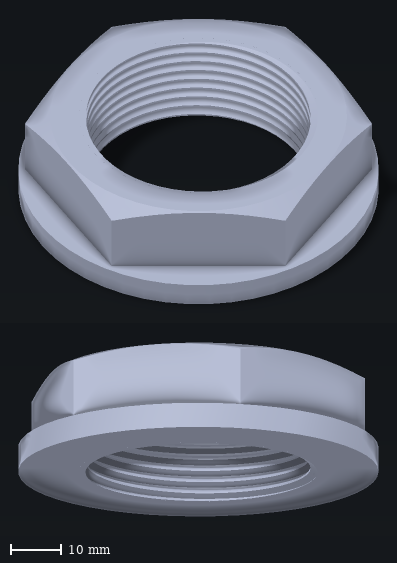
import cadquery as cq
import math

flange_diameter = 72.0
flange_thickness = 5.0
nut_height = 19.0

across_flats = 60.05
chamfer_top_diameter = 59.3
chamfer_drop = 2.2

across_corners = across_flats / math.cos(math.radians(30))

bore_diameter = 47.8
thread_crest_diameter = 44.85
thread_pitch = 2.3
crest_width = thread_pitch / 6
ridge_base_width = thread_pitch * 5 / 6
ridge_angle_at_top = 175.0

bore_radius = bore_diameter / 2
crest_radius = thread_crest_diameter / 2


def make_flange():
    return cq.Workplane("XY").circle(flange_diameter / 2).extrude(flange_thickness)


def make_chamfered_hexagon():
    prism = (
        cq.Workplane("XY")
        .polygon(6, across_flats, circumscribed=True)
        .extrude(nut_height)
    )
    top_radius = chamfer_top_diameter / 2
    corner_radius = across_corners / 2
    chamfer_envelope = (
        cq.Workplane("XZ")
        .polyline([
            (0, 0),
            (corner_radius, 0),
            (corner_radius, nut_height - chamfer_drop),
            (top_radius, nut_height),
            (0, nut_height),
        ])
        .close()
        .revolve(360, (0, 0), (0, 1))
    )
    return prism.intersect(chamfer_envelope)


def make_nut():
    bore = cq.Workplane("XY").circle(bore_radius).extrude(nut_height)
    return make_flange().union(make_chamfered_hexagon()).cut(bore)


def make_thread():
    start_z = -2 * thread_pitch
    helix_height = nut_height + 4 * thread_pitch
    helix = cq.Wire.makeHelix(thread_pitch, helix_height, bore_radius)
    ridge = (
        cq.Workplane("XZ")
        .polyline([
            (bore_radius, -ridge_base_width / 2),
            (crest_radius, -crest_width / 2),
            (crest_radius, crest_width / 2),
            (bore_radius, ridge_base_width / 2),
        ])
        .close()
        .sweep(cq.Workplane(helix), isFrenet=True)
    )
    angle_climbed_to_top = 360 * (nut_height - start_z) / thread_pitch
    ridge = ridge.rotate((0, 0, 0), (0, 0, 1), ridge_angle_at_top - angle_climbed_to_top)
    ridge = ridge.translate((0, 0, start_z))
    trim_block = cq.Workplane("XY").rect(flange_diameter, flange_diameter).extrude(nut_height)
    return ridge.intersect(trim_block)


nut = make_nut()
thread = make_thread()
result = cq.Compound.makeCompound([nut.val(), *thread.vals()])